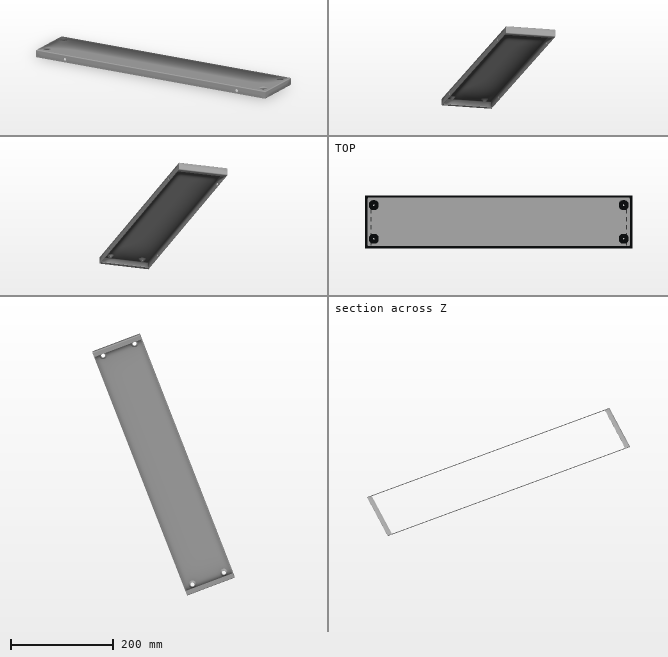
import cadquery as cq
import math

length = 516
width = 99.0
height = 15.0
sheet = 0.8
bend_radius = 1.85

lip_length = 10.0

screw_spacing_x = 486.0
screw_spacing_y = 65.5
dimple_diameter = 17.0
screw_diameter = 7.5
rim_radius = 3.0
flank_angle = math.radians(45)

side_hole_diameter = 5.5
side_hole_spacing = 386.0
side_hole_z = 6.0


def rounded_block(size_x, size_y, size_z, radius):
    """Block on the XY plane, rounded along its top rim and its two lower end edges."""
    block = cq.Workplane("XY").box(size_x, size_y, size_z, centered=(True, True, False))
    return block.edges(">Z or (<Z and |Y)").fillet(radius)


def folded_cover():
    outside = rounded_block(length, width, height, bend_radius)
    inside = rounded_block(
        length - 2 * sheet,
        width - 2 * sheet,
        height - 2 * sheet,
        bend_radius - sheet,
    ).translate((0, 0, sheet))
    opening = cq.Workplane("XY").box(length - 2 * lip_length, width - 2 * sheet, height)
    return outside.cut(inside).cut(opening)


def at_screws(body):
    """Copies of a body made at the origin, placed on the top face at each screw."""
    points = cq.Workplane("XY", origin=(0, 0, height)).rarray(screw_spacing_x, screw_spacing_y, 2, 2)
    return points.eachpoint(body.val(), combine=False)


def dimple_bore():
    """Rounded rim, straight conical flank and a short cylindrical neck."""
    rim = dimple_diameter / 2
    throat = screw_diameter / 2
    flank_top = rim - rim_radius * math.sin(flank_angle)
    flank_top_z = -rim_radius * (1 - math.cos(flank_angle))
    mid_rim = rim - rim_radius * math.sin(flank_angle / 2)
    mid_rim_z = -rim_radius * (1 - math.cos(flank_angle / 2))
    throat_z = flank_top_z - (flank_top - throat) * math.tan(flank_angle)
    return (
        cq.Workplane("XZ")
        .moveTo(0, 0)
        .lineTo(rim, 0)
        .threePointArc((mid_rim, mid_rim_z), (flank_top, flank_top_z))
        .lineTo(throat, throat_z)
        .lineTo(throat, throat_z - sheet)
        .lineTo(0, throat_z - sheet)
        .close()
        .revolve(360, (0, 0), (0, 1))
    )


def dimple_wall():
    """Solid funnel one sheet thickness around the bore, level with its lower end."""
    flank_corner = dimple_diameter / 2 - rim_radius * math.tan(flank_angle / 2)
    throat = screw_diameter / 2
    depth = (flank_corner - throat) * math.tan(flank_angle) + sheet
    bottom = throat + sheet * math.tan(flank_angle / 2)
    top = bottom + depth / math.tan(flank_angle)
    return cq.Workplane(cq.Solid.makeCone(bottom, top, depth, pnt=cq.Vector(0, 0, -depth)))


def side_holes():
    return (
        cq.Workplane("XZ")
        .rarray(side_hole_spacing, 5, 2, 1)
        .circle(side_hole_diameter / 2)
        .extrude(width, both=True)
        .translate((0, 0, side_hole_z))
    )


cover = folded_cover().union(at_screws(dimple_wall()))
result = cover.cut(at_screws(dimple_bore())).cut(side_holes())